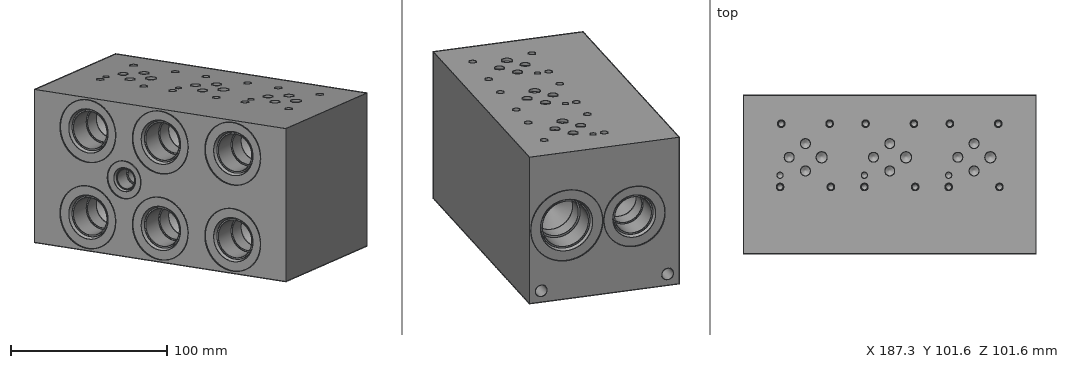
import cadquery as cq
import math

BLOCK_X = 187.32
BLOCK_Y = 101.6
BLOCK_Z = 101.6

DRILL_POINT_ANGLE = 118.0
SPOTFACE_DEPTH = 0.79

STATION_COUNT = 3
STATION_PITCH = 53.98
FIRST_STATION_X = BLOCK_X / 2 - STATION_PITCH * (STATION_COUNT - 1) / 2
STATION_XS = [FIRST_STATION_X + i * STATION_PITCH for i in range(STATION_COUNT)]

WORK_PORT = {
    "spotface": 41.45,
    "taper": 29.18,
    "thread": 26.99,
    "thread_minor": 24.92,
    "drill": 23.01,
    "taper_depth": 2.3,
    "thread_depth": 19.05,
    "drill_depth": 30.0,
}
TANK_PORT = {
    "spotface": 48.8,
    "taper": 35.5,
    "thread": 33.34,
    "thread_minor": 31.27,
    "drill": 28.57,
    "taper_depth": 2.3,
    "thread_depth": 19.05,
    "drill_depth": 30.0,
}
GAUGE_PORT = {
    "spotface": 24.92,
    "taper": 15.9,
    "thread": 14.29,
    "thread_minor": 12.9,
    "drill": 10.72,
    "taper_depth": 1.9,
    "thread_depth": 14.3,
    "drill_depth": 20.0,
}

B_PORT_Z = 79.38
A_PORT_Z = BLOCK_Z - B_PORT_Z
B_PILOT_DIAMETER = 10.72
B_PILOT_DEPTH = 60.0

MID_PORT_Z = BLOCK_Z / 2
TANK_PORT_Y = 76.2
PRESSURE_PORT_Y = 30.3
GAUGE_X = FIRST_STATION_X + STATION_PITCH / 2

MOUNT_THREAD = 7.92
MOUNT_DRILL = 6.53
MOUNT_THREAD_DEPTH = 16.0
MOUNT_DRILL_DEPTH = 20.0
MOUNT_EDGE_OFFSET = 7.94

PATTERN_ACROSS = 31.0
PATTERN_ALONG = 40.5
BOLT_SPREAD = 0.75
REAR_BOLT_Y = 83.3
BOLT_POSITIONS = [
    (0, 0),
    (PATTERN_ACROSS, 0),
    (-BOLT_SPREAD, PATTERN_ALONG),
    (PATTERN_ACROSS + BOLT_SPREAD, PATTERN_ALONG),
]
BOLT_THREAD = 4.83
BOLT_DRILL = 3.79
BOLT_THREAD_DEPTH = 12.0
BOLT_DRILL_DEPTH = 15.0

PIN_POSITION = (-BOLT_SPREAD, 33.0)
PIN_DIAMETER = 3.96
PIN_DEPTH = 6.0

PORT_CENTER_ALONG = 21.5
PORT_HALF_ACROSS = 10.4
PORT_HALF_ALONG = 8.75
FLOW_DIAMETER = 6.35
PRESSURE_FLOW_DIAMETER = 7.14
FLOW_DEPTH = 2.0
FLOW_POSITIONS = [
    (PATTERN_ACROSS / 2, PORT_CENTER_ALONG - PORT_HALF_ALONG),
    (PATTERN_ACROSS / 2, PORT_CENTER_ALONG + PORT_HALF_ALONG),
    (PATTERN_ACROSS / 2 - PORT_HALF_ACROSS, PORT_CENTER_ALONG),
]
PRESSURE_FLOW_POSITION = (PATTERN_ACROSS / 2 + PORT_HALF_ACROSS, PORT_CENTER_ALONG)

INTO_FRONT = cq.Vector(0, 1, 0)
INTO_END = cq.Vector(1, 0, 0)
INTO_TOP = cq.Vector(0, 0, -1)


def point_length(diameter):
    """Height of the drill-point cone."""
    return diameter / 2 / math.tan(math.radians(DRILL_POINT_ANGLE / 2))


def bore(mouth, direction, diameter, depth):
    """Blind drilled hole: a cylinder ending in a drill point."""
    base = cq.Vector(*mouth)
    barrel = cq.Solid.makeCylinder(diameter / 2, depth, base, direction)
    floor = base + direction * depth
    point = cq.Solid.makeCone(diameter / 2, 0, point_length(diameter), floor, direction)
    return barrel.fuse(point)


def tapped_hole(mouth, direction, thread, drill, thread_depth, drill_depth):
    """Flat-bottomed thread cylinder over a deeper drilled hole."""
    threaded = cq.Solid.makeCylinder(thread / 2, thread_depth, cq.Vector(*mouth), direction)
    return threaded.fuse(bore(mouth, direction, drill, drill_depth))


def oring_port(mouth, direction, size):
    """Spotfaced port with a tapered seal seat, a thread bore and a drill."""
    base = cq.Vector(*mouth)
    spotface = cq.Solid.makeCylinder(size["spotface"] / 2, SPOTFACE_DEPTH, base, direction)
    seat = cq.Solid.makeCone(
        size["taper"] / 2,
        size["thread"] / 2,
        size["taper_depth"],
        base + direction * SPOTFACE_DEPTH,
        direction,
    )
    hole = tapped_hole(
        mouth, direction, size["thread_minor"], size["drill"], size["thread_depth"], size["drill_depth"]
    )
    return spotface.fuse(seat, hole)


def station_front_cutters(x):
    """A and B work ports of one station."""
    a_mouth = (x, 0, A_PORT_Z)
    b_mouth = (x, 0, B_PORT_Z)
    return [
        oring_port(a_mouth, INTO_FRONT, WORK_PORT),
        oring_port(b_mouth, INTO_FRONT, WORK_PORT),
        bore(b_mouth, INTO_FRONT, B_PILOT_DIAMETER, B_PILOT_DEPTH),
    ]


def station_top_cutters(x):
    """Valve bolt threads, locating pin hole and flow holes of one station."""

    def on_top(position):
        across, along = position
        return (x - PATTERN_ACROSS / 2 + across, REAR_BOLT_Y - along, BLOCK_Z)

    cutters = [
        tapped_hole(on_top(p), INTO_TOP, BOLT_THREAD, BOLT_DRILL, BOLT_THREAD_DEPTH, BOLT_DRILL_DEPTH)
        for p in BOLT_POSITIONS
    ]
    cutters += [bore(on_top(p), INTO_TOP, FLOW_DIAMETER, FLOW_DEPTH) for p in FLOW_POSITIONS]
    cutters.append(bore(on_top(PRESSURE_FLOW_POSITION), INTO_TOP, PRESSURE_FLOW_DIAMETER, FLOW_DEPTH))
    cutters.append(bore(on_top(PIN_POSITION), INTO_TOP, PIN_DIAMETER, PIN_DEPTH))
    return cutters


def end_cutters():
    """Tank and pressure ports and the two mounting threads on the -X end."""
    cutters = [
        oring_port((0, TANK_PORT_Y, MID_PORT_Z), INTO_END, TANK_PORT),
        oring_port((0, PRESSURE_PORT_Y, MID_PORT_Z), INTO_END, WORK_PORT),
    ]
    for y in (MOUNT_EDGE_OFFSET, BLOCK_Y - MOUNT_EDGE_OFFSET):
        mouth = (0, y, MOUNT_EDGE_OFFSET)
        cutters.append(
            tapped_hole(
                mouth, INTO_END, MOUNT_THREAD, MOUNT_DRILL, MOUNT_THREAD_DEPTH, MOUNT_DRILL_DEPTH
            )
        )
    return cutters


all_cutters = end_cutters()
all_cutters.append(oring_port((GAUGE_X, 0, MID_PORT_Z), INTO_FRONT, GAUGE_PORT))
for station_x in STATION_XS:
    all_cutters += station_front_cutters(station_x)
    all_cutters += station_top_cutters(station_x)

result = cq.Workplane("XY").box(BLOCK_X, BLOCK_Y, BLOCK_Z, centered=False)
for cutter in all_cutters:
    result = result.cut(cq.Workplane(obj=cutter))